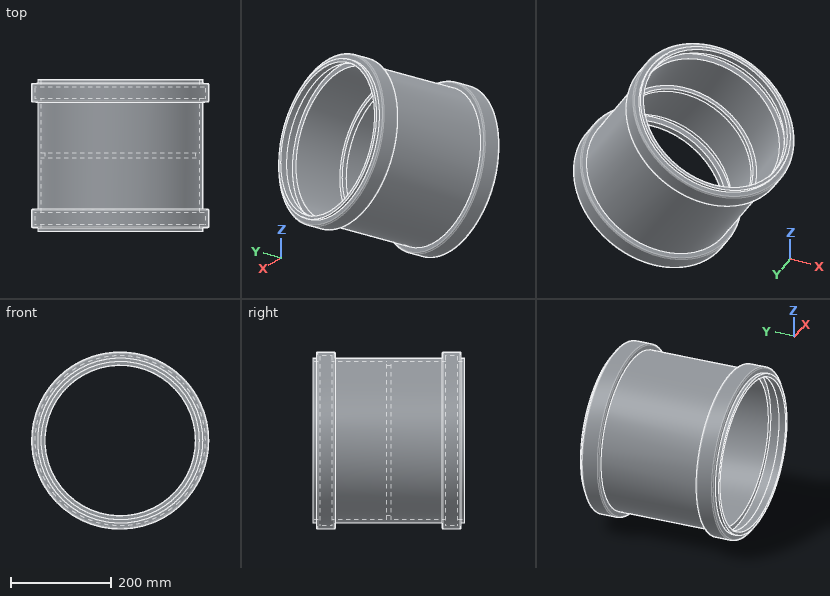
import cadquery as cq

length = 303.0
tube_diameter = 329.5
bore_diameter = 316.0
wall = (tube_diameter - bore_diameter) / 2

collar_diameter = 353.7
collar_rim_width = 37.0
collar_root_width = 38.2
collar_edge_radius = 2.5
end_to_collar = 7.0
collar_center = length / 2 - end_to_collar - collar_root_width / 2

groove_diameter = collar_diameter - 2 * wall
groove_width = collar_rim_width - 2 * wall

stop_bore_diameter = 300.0
stop_width = 10.0


def ring(outer_diameter, inner_diameter, width, center_y):
    """Flat-ended ring around the Y axis, centred at center_y."""
    profile = cq.Workplane("XZ", origin=(0, center_y + width / 2, 0))
    return profile.circle(outer_diameter / 2).circle(inner_diameter / 2).extrude(width)


def collar(center_y):
    """Ring with drafted side faces and rounded rim edges."""
    inner_radius = bore_diameter / 2
    root_radius = tube_diameter / 2
    rim_radius = collar_diameter / 2
    half_root = collar_root_width / 2
    half_rim = collar_rim_width / 2
    outline = [
        (inner_radius, -half_root),
        (root_radius, -half_root),
        (rim_radius, -half_rim),
        (rim_radius, half_rim),
        (root_radius, half_root),
        (inner_radius, half_root),
    ]
    profile = cq.Workplane("XY").polyline(outline).close()
    body = profile.revolve(360, (0, 0, 0), (0, 1, 0))
    rim_edges = [
        edge for edge in body.edges("%CIRCLE").vals()
        if edge.radius() > (root_radius + rim_radius) / 2
    ]
    return body.newObject(rim_edges).fillet(collar_edge_radius).translate((0, center_y, 0))


sleeve = ring(tube_diameter, bore_diameter, length, 0)
for center_y in (-collar_center, collar_center):
    sleeve = sleeve.union(collar(center_y))
    sleeve = sleeve.cut(ring(groove_diameter, bore_diameter, groove_width, center_y))

result = sleeve.union(ring(tube_diameter, stop_bore_diameter, stop_width, 0))